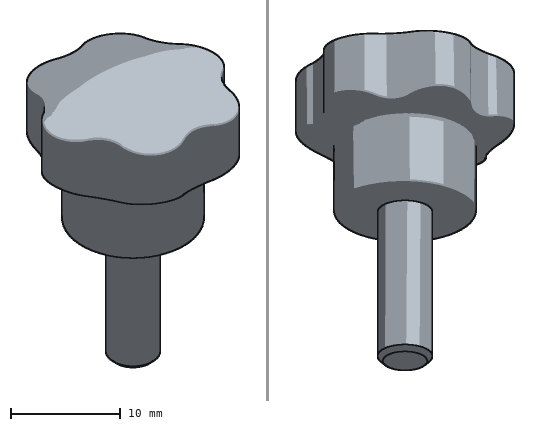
import cadquery as cq
import math

TOTAL_HEIGHT = 30.0
HEAD_DIAMETER = 20.0

LOBE_COUNT = 6
LOBE_RADIUS = 3.5
VALLEY_RADIUS = LOBE_RADIUS
GRIP_EDGE_FILLET = 0.25

DOME_RADIUS = 42.0
UNDERSIDE_RADIUS = 21.6
UNDERSIDE_RIM_HEIGHT = 23.33

HUB_DIAMETER = 13.0
HUB_BOTTOM = TOTAL_HEIGHT / 2
HUB_EDGE_FILLET = 0.25
NECK_FILLET = 0.45
STEM_DIAMETER = 5.0
STEM_CHAMFER = 0.48

HEAD_RADIUS = HEAD_DIAMETER / 2
HUB_RADIUS = HUB_DIAMETER / 2


def polar(radius, angle):
    """Point at a radius and an angle in degrees."""
    return radius * math.cos(math.radians(angle)), radius * math.sin(math.radians(angle))


def lobed_outline():
    """Closed outline of convex lobes joined by tangent concave valleys."""
    pitch = 360 / LOBE_COUNT
    half_pitch = math.radians(pitch / 2)
    lobe_center = HEAD_RADIUS - LOBE_RADIUS
    half_gap = lobe_center * math.sin(half_pitch)
    center_distance = LOBE_RADIUS + VALLEY_RADIUS
    valley_center = lobe_center * math.cos(half_pitch) + math.sqrt(center_distance**2 - half_gap**2)
    valley_bottom = valley_center - VALLEY_RADIUS

    share = VALLEY_RADIUS / center_distance
    joint_along = valley_center + share * (lobe_center * math.cos(half_pitch) - valley_center)
    joint_across = share * half_gap
    joint_radius = math.hypot(joint_along, joint_across)
    joint_angle = math.degrees(math.atan2(joint_across, joint_along))

    outline = cq.Workplane("XY").moveTo(*polar(joint_radius, -joint_angle))
    for index in range(LOBE_COUNT):
        valley_angle = index * pitch
        lobe_angle = valley_angle + pitch / 2
        outline = outline.threePointArc(
            polar(valley_bottom, valley_angle), polar(joint_radius, valley_angle + joint_angle)
        )
        outline = outline.threePointArc(
            polar(HEAD_RADIUS, lobe_angle), polar(joint_radius, valley_angle + pitch - joint_angle)
        )
    return outline.close()


def dome_height(radius):
    """Height of the spherical top at a distance from the axis."""
    return TOTAL_HEIGHT - DOME_RADIUS + math.sqrt(DOME_RADIUS**2 - radius**2)


def underside_height(radius):
    """Height of the spherical underside at a distance from the axis."""
    sphere_center = UNDERSIDE_RIM_HEIGHT + math.sqrt(UNDERSIDE_RADIUS**2 - HEAD_RADIUS**2)
    return sphere_center - math.sqrt(UNDERSIDE_RADIUS**2 - radius**2)


def make_head():
    """Lobed prism trimmed by a dome above and a bowl below, with rounded rims."""
    trim_radius = HEAD_RADIUS + LOBE_RADIUS / 2
    middle_radius = (HUB_RADIUS + trim_radius) / 2
    envelope = (
        cq.Workplane("XZ")
        .moveTo(0, HUB_TOP)
        .lineTo(HUB_RADIUS, HUB_TOP)
        .threePointArc(
            (middle_radius, underside_height(middle_radius)),
            (trim_radius, underside_height(trim_radius)),
        )
        .lineTo(trim_radius, dome_height(trim_radius))
        .threePointArc((trim_radius / 2, dome_height(trim_radius / 2)), (0, TOTAL_HEIGHT))
        .close()
        .revolve(360, (0, 0), (0, 1))
    )
    head = lobed_outline().extrude(TOTAL_HEIGHT).intersect(envelope)
    rims = head.edges("(not %LINE) and (not %CIRCLE)")
    return rims.fillet(GRIP_EDGE_FILLET)


def make_hub():
    """Cylinder below the head with a rounded lower edge."""
    hub_height = HUB_TOP - HUB_BOTTOM
    hub = cq.Workplane("XY").workplane(offset=HUB_BOTTOM).circle(HUB_RADIUS).extrude(hub_height)
    return hub.faces("<Z").edges().fillet(HUB_EDGE_FILLET)


def make_stem():
    """Plain rod with a chamfered tip."""
    stem = cq.Workplane("XY").circle(STEM_DIAMETER / 2).extrude(HUB_BOTTOM)
    return stem.faces("<Z").edges().chamfer(STEM_CHAMFER)


HUB_TOP = underside_height(HUB_RADIUS)

knob = make_head().union(make_hub())

neck_margin = 0.03
neck_region = cq.selectors.BoxSelector(
    (-HEAD_RADIUS, -HEAD_RADIUS, HUB_TOP - neck_margin),
    (HEAD_RADIUS, HEAD_RADIUS, HUB_TOP + neck_margin),
    boundingbox=True,
)
knob = knob.edges(neck_region).fillet(NECK_FILLET)

result = knob.union(make_stem())